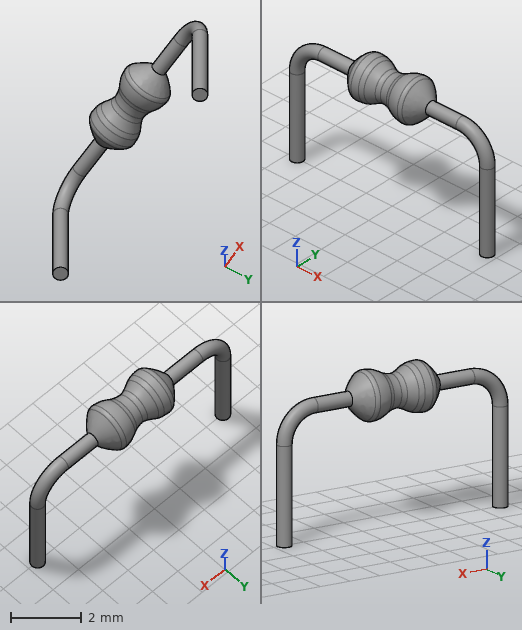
import cadquery as cq

overall_length = 7.75
overall_height = 4.76
body_diameter = 1.51
body_length = 2.96
wire_diameter = 0.45
bend_radius = 1.0

body_radius = body_diameter / 2
half_body = body_length / 2
wire_radius = wire_diameter / 2
waist_radius = 0.5
end_bulge = 0.02

leg_x = (overall_length - wire_diameter) / 2
leg_bottom_z = body_radius - overall_height

left_end = (-half_body, wire_radius)
left_shoulder = (-1.06, 0.7)
profile_joints = [
    (-0.9, body_radius),
    (-0.64, 0.73),
    (-0.48, 0.67),
    (-0.18, 0.53),
    (0, waist_radius),
    (0.295, 0.57),
    (0.435, 0.64),
    (0.875, body_radius),
    (1.015, 0.705),
    (half_body, wire_radius),
]


def make_body():
    """Revolve a chain of tangent arcs about the X axis."""
    profile = cq.Workplane("XY").moveTo(*left_end).sagittaArc(left_shoulder, end_bulge)
    for joint in profile_joints:
        profile = profile.tangentArcPoint(joint, relative=False)
    profile = profile.lineTo(half_body, 0).lineTo(-half_body, 0).close()
    return profile.revolve(360, (0, 0, 0), (1, 0, 0))


def make_wire():
    """Sweep the round wire up one leg, through the body and down the other leg."""
    path = (
        cq.Workplane("XZ")
        .moveTo(-leg_x, leg_bottom_z)
        .lineTo(-leg_x, -bend_radius)
        .radiusArc((-leg_x + bend_radius, 0), bend_radius)
        .lineTo(leg_x - bend_radius, 0)
        .radiusArc((leg_x, -bend_radius), bend_radius)
        .lineTo(leg_x, leg_bottom_z)
    )
    section = cq.Workplane("XY", origin=(-leg_x, 0, leg_bottom_z)).circle(wire_radius)
    return section.sweep(path)


result = make_body().union(make_wire())